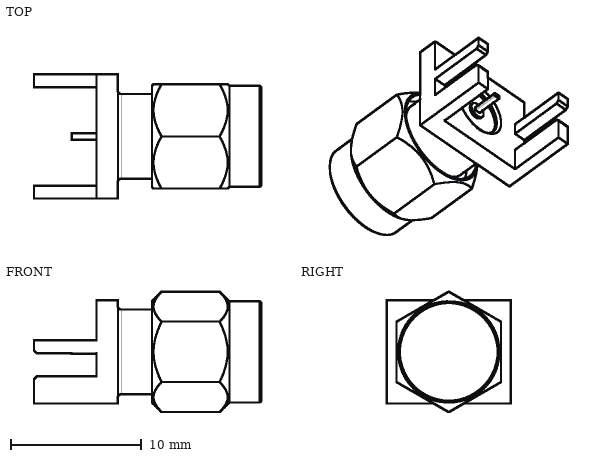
import cadquery as cq
import math


PLATE_THICKNESS = 1.65
PLATE_WIDTH = 9.52
PLATE_HEIGHT = 7.92

LEG_LENGTH = 4.77
LEG_WIDTH = 1.0
UPPER_LEG_TOP = 0.91
UPPER_LEG_BOTTOM = -0.12
LOWER_LEG_TOP = -1.86
LEG_CHAMFER = 0.22

RECESS_RADIUS = 2.04
RECESS_CHAMFER = 0.23
RECESS_DEPTH = 0.45
COLLAR_RADIUS = 0.64
COLLAR_HEIGHT = 0.2

PIN_LENGTH = 1.88
PIN_WIDTH = 0.52
PIN_HEIGHT = 0.3
PIN_EDGE_RADIUS = 0.08

NECK_RADIUS = 3.25
NECK_FILLET = 0.27
SHOULDER_START = 4.78

NUT_START = 4.26
NUT_LENGTH = 5.92
NUT_CORNER_RADIUS = 4.62
NUT_BORE_RADIUS = 3.75

BARREL_RADIUS = 3.88
BARREL_CHAMFER = 0.14
OVERALL_LENGTH = 17.42

HEX_SIDES = 6
shoulder_end = SHOULDER_START + NUT_BORE_RADIUS - NECK_RADIUS
nut_end = NUT_START + NUT_LENGTH
front_end = OVERALL_LENGTH - LEG_LENGTH


def cylinder(start_x, end_x, radius):
    """Round bar on the connector axis."""
    return cq.Workplane("YZ").workplane(offset=start_x).circle(radius).extrude(end_x - start_x)


def box(start, end):
    """Axis-aligned box between two opposite corners."""
    size = [high - low for low, high in zip(start, end)]
    return cq.Workplane("XY").box(*size, centered=False).translate(start)


def make_plate():
    half_width = PLATE_WIDTH / 2
    half_height = PLATE_HEIGHT / 2
    return box((0, -half_width, -half_height), (PLATE_THICKNESS, half_width, half_height))


def make_leg(bottom, top, chamfered_edge):
    """Leg on the +Y side, chamfered along one edge of its free end."""
    outer = PLATE_WIDTH / 2
    leg = box((-LEG_LENGTH, outer - LEG_WIDTH, bottom), (0, outer, top))
    return leg.faces("<X").edges(chamfered_edge).chamfer(LEG_CHAMFER)


def make_legs():
    upper = make_leg(UPPER_LEG_BOTTOM, UPPER_LEG_TOP, "<Z")
    lower = make_leg(-PLATE_HEIGHT / 2, LOWER_LEG_TOP, ">Z")
    pair = upper.add(lower).combine()
    return pair.union(pair.mirror("XZ"))


def make_recess():
    """Cutter: a counterbore with a chamfered mouth, leaving the collar standing."""
    bore = cylinder(0, RECESS_DEPTH, RECESS_RADIUS)
    mouth_radius = RECESS_RADIUS + RECESS_CHAMFER
    axis = cq.Vector(1, 0, 0)
    cone = cq.Solid.makeCone(mouth_radius, RECESS_RADIUS, RECESS_CHAMFER, dir=axis)
    collar = cylinder(RECESS_DEPTH - COLLAR_HEIGHT, RECESS_DEPTH, COLLAR_RADIUS)
    return bore.union(cq.Workplane(cone)).cut(collar)


def make_pin():
    pin = cq.Workplane("YZ").workplane(offset=-PIN_LENGTH).rect(PIN_WIDTH, PIN_HEIGHT)
    pin = pin.extrude(PIN_LENGTH + RECESS_DEPTH)
    return pin.edges("|X").fillet(PIN_EDGE_RADIUS)


def make_neck():
    """Neck with a concave fillet at the plate and a 45 degree shoulder that fills the nut bore."""
    flare_radius = NECK_RADIUS + NECK_FILLET
    fillet_end = PLATE_THICKNESS + NECK_FILLET
    diagonal = NECK_FILLET * (1 - math.sqrt(0.5))
    profile = (
        cq.Workplane("XY")
        .moveTo(PLATE_THICKNESS, 0)
        .lineTo(PLATE_THICKNESS, flare_radius)
        .threePointArc((PLATE_THICKNESS + diagonal, NECK_RADIUS + diagonal), (fillet_end, NECK_RADIUS))
        .lineTo(SHOULDER_START, NECK_RADIUS)
        .lineTo(shoulder_end, NUT_BORE_RADIUS)
        .lineTo(shoulder_end, 0)
        .close()
    )
    return profile.revolve(360, (0, 0, 0), (1, 0, 0))


def make_nut():
    """Hexagon whose corners are turned down at 45 degrees to the barrel radius at both ends."""
    hexagon = (
        cq.Workplane("YZ")
        .workplane(offset=NUT_START)
        .polygon(HEX_SIDES, 2 * NUT_CORNER_RADIUS)
        .extrude(NUT_LENGTH)
        .rotate((0, 0, 0), (1, 0, 0), 90)
    )
    corner_chamfer = NUT_CORNER_RADIUS - BARREL_RADIUS
    envelope = cylinder(NUT_START, nut_end, NUT_CORNER_RADIUS).edges("%CIRCLE").chamfer(corner_chamfer)
    bore = cylinder(NUT_START, shoulder_end, NUT_BORE_RADIUS)
    return hexagon.intersect(envelope).cut(bore)


def make_barrel():
    return cylinder(nut_end, front_end, BARREL_RADIUS).faces(">X").chamfer(BARREL_CHAMFER)


result = (
    make_plate()
    .union(make_legs())
    .union(make_neck())
    .cut(make_recess())
    .union(make_pin())
    .union(make_nut())
    .union(make_barrel())
)